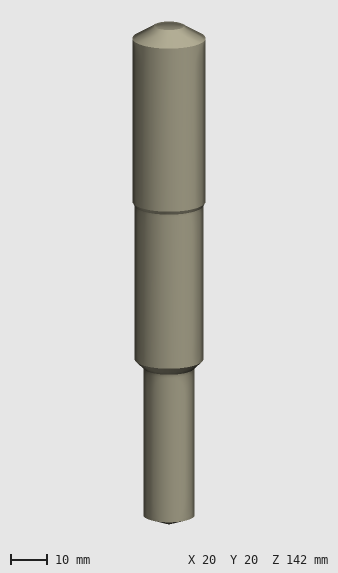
import cadquery as cq

overall_length = 142.0
shank_diameter = 20.0
shank_end_diameter = 8.2
shank_bevel_height = 3.5
shank_length = 51.0
shank_taper_height = 1.0
body_diameter = 18.9
pilot_diameter = 14.0
pilot_length = 44.7
tip_height = 2.7

shank_radius = shank_diameter / 2
shank_end_radius = shank_end_diameter / 2
body_radius = body_diameter / 2
pilot_radius = pilot_diameter / 2
joint_z = overall_length - shank_length
step_height = body_radius - pilot_radius


def revolve_profile(points):
    """Turn a closed (radius, height) outline around the Z axis."""
    return (
        cq.Workplane("XZ")
        .polyline(points)
        .close()
        .revolve(360, (0, 0, 0), (0, 1, 0))
    )


def make_shank():
    """Plain shank, bevelled at the top and tapered down to the cutter."""
    return revolve_profile([
        (0, joint_z),
        (body_radius, joint_z),
        (shank_radius, joint_z + shank_taper_height),
        (shank_radius, overall_length - shank_bevel_height),
        (shank_end_radius, overall_length),
        (0, overall_length),
    ])


def make_cutter():
    """Stepped cutter with a conical tip, ending flat against the shank."""
    return revolve_profile([
        (0, 0),
        (pilot_radius, tip_height),
        (pilot_radius, pilot_length),
        (body_radius, pilot_length + step_height),
        (body_radius, joint_z),
        (0, joint_z),
    ])


shank = make_shank()
cutter = make_cutter()
result = cq.Compound.makeCompound([shank.val(), cutter.val()])